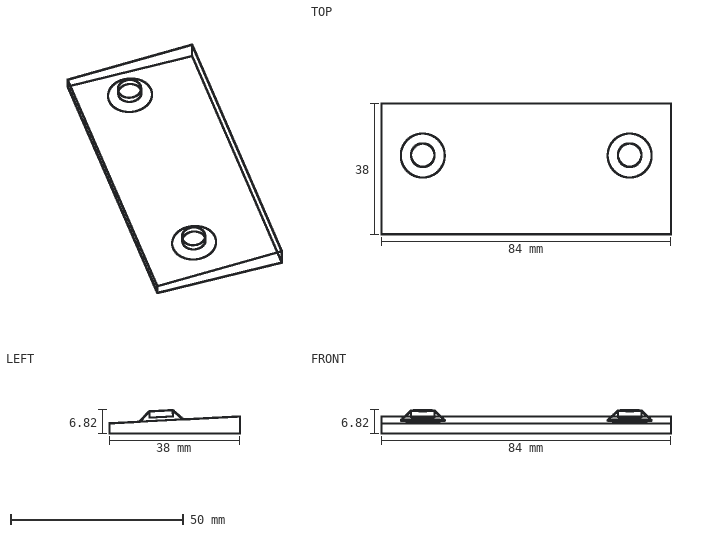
import cadquery as cq
import math

length = 84.0
width = 38.0
front_height = 5.0
back_height = 3.0
slope = math.atan2(front_height - back_height, width)

boss_spacing = 60.0
boss_y = 3.9
boss_base_diameter = 12.8
boss_rim_diameter = 6.8
boss_height = 2.85
recess_depth = 1.85
boss_root = 0.4

boss_base_z = (front_height + back_height) / 2 - boss_y * math.tan(slope)


def make_plate():
    """Plate with a flat underside and a top that falls toward +Y."""
    profile = [
        (-width / 2, 0),
        (width / 2, 0),
        (width / 2, back_height),
        (-width / 2, front_height),
    ]
    return cq.Workplane("YZ").polyline(profile).close().extrude(length / 2, both=True)


def make_boss(x):
    """Cone with a sharp rim, a flat-bottomed recess and a straight root."""
    base_radius = boss_base_diameter / 2
    rim_radius = boss_rim_diameter / 2
    recess_floor = boss_height - recess_depth
    half_section = [
        (0, -boss_root),
        (base_radius, -boss_root),
        (base_radius, 0),
        (rim_radius, boss_height),
        (rim_radius, recess_floor),
        (0, recess_floor),
    ]
    boss = cq.Workplane("XZ").polyline(half_section).close().revolve(360, (0, 0, 0), (0, 1, 0))
    tilted = boss.rotate((0, 0, 0), (1, 0, 0), -math.degrees(slope))
    return tilted.translate((x, boss_y, boss_base_z))


result = make_plate()
for boss_x in (-boss_spacing / 2, boss_spacing / 2):
    result = result.union(make_boss(boss_x))